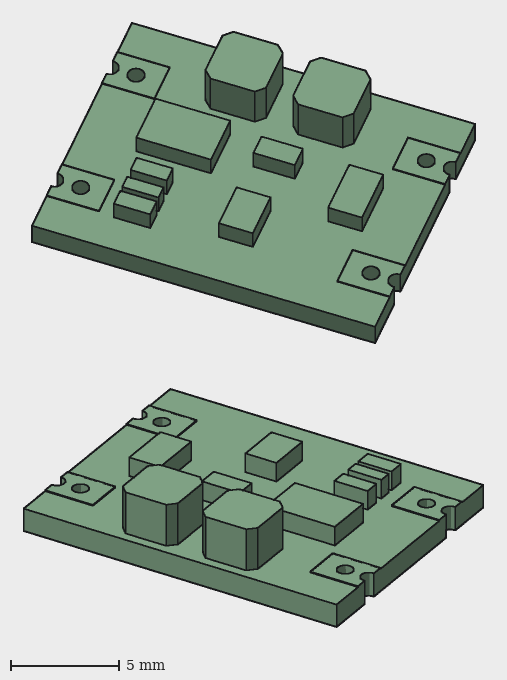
import cadquery as cq

BOARD_LENGTH = 17.0
BOARD_WIDTH = 13.0
BOARD_THICKNESS = 1.2
OVERALL_HEIGHT = 3.4

PAD_LENGTH = 2.6
PAD_WIDTH = 2.0
PAD_THICKNESS = 0.05
PAD_Y = 3.6

HOLE_DIAMETER = 0.8
HOLE_PITCH = 1.28
INNER_HOLE_X = 7.19
EDGE_HOLE_X = INNER_HOLE_X + HOLE_PITCH

INDUCTOR_SIDE = 3.0
INDUCTOR_CHAMFER = 0.4
INDUCTOR_X = 2.17
INDUCTOR_Y = 4.49
INDUCTOR_HEIGHT = OVERALL_HEIGHT - BOARD_THICKNESS

COMPONENT_HEIGHT = 1.0
CONTROLLER = (-3.72, 0.63, 3.7, 2.5)
CENTRE_CHIP = (0.85, 0.98, 2.05, 1.05)
SIDE_CHIP = (5.06, 0.0, 1.68, 2.75)
LOWER_CHIP = (0.67, -2.9, 1.68, 2.3)
CHIP_ROW = [
    (-4.23, -2.13, 1.8, 0.78),
    (-4.23, -3.28, 1.8, 0.65),
    (-4.23, -4.27, 1.8, 0.83),
]
COMPONENTS = [CONTROLLER, CENTRE_CHIP, SIDE_CHIP, LOWER_CHIP] + CHIP_ROW

CORNER_SIGNS = [(-1, -1), (-1, 1), (1, -1), (1, 1)]


def standing_block(x, y, length, width, height):
    """Block that stands on the board's top face, centred at (x, y)."""
    block = cq.Workplane("XY").box(length, width, height, centered=(True, True, False))
    return block.translate((x, y, BOARD_THICKNESS))


def make_inductor(x):
    block = standing_block(x, INDUCTOR_Y, INDUCTOR_SIDE, INDUCTOR_SIDE, INDUCTOR_HEIGHT)
    return block.edges("|Z").chamfer(INDUCTOR_CHAMFER)


def make_pad(x_sign, y_sign):
    pad_x = BOARD_LENGTH / 2 - PAD_LENGTH / 2
    return standing_block(x_sign * pad_x, y_sign * PAD_Y, PAD_LENGTH, PAD_WIDTH, PAD_THICKNESS)


def make_hole_cutters():
    """Cylinders for all inner and edge holes, tall enough to pass through board and pads."""
    centres = []
    for x_sign, y_sign in CORNER_SIGNS:
        for hole_x in (INNER_HOLE_X, EDGE_HOLE_X):
            centres.append((x_sign * hole_x, y_sign * PAD_Y))
    cutter_height = BOARD_THICKNESS + PAD_THICKNESS
    return cq.Workplane("XY").pushPoints(centres).circle(HOLE_DIAMETER / 2).extrude(cutter_height)


def make_board():
    board = cq.Workplane("XY").box(
        BOARD_LENGTH, BOARD_WIDTH, BOARD_THICKNESS, centered=(True, True, False)
    )
    for x_sign, y_sign in CORNER_SIGNS:
        board = board.union(make_pad(x_sign, y_sign))
    return board.cut(make_hole_cutters())


result = make_board()
for inductor_x in (-INDUCTOR_X, INDUCTOR_X):
    result = result.union(make_inductor(inductor_x))
for centre_x, centre_y, length, width in COMPONENTS:
    result = result.union(standing_block(centre_x, centre_y, length, width, COMPONENT_HEIGHT))